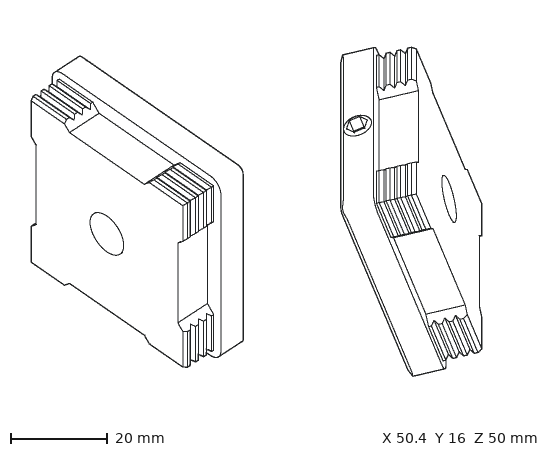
import cadquery as cq
import math


OVERALL_LENGTH = 50.4
SIDE_COUNT = 4
QUARTER_TURN = 90

PLATE_SIZE = 50.0
PLATE_THICKNESS = 7.5
PLATE_CORNER_RADIUS = 3.1
BEVEL_INSET = 1.4
BEVEL_DEPTH = 1.0
BEVEL_CORNER_RADIUS = 2.5

PLUG_DEPTH = 8.5
RIB_HALF_WIDTH = 22.9
RIB_PITCH = 2.3
RIB_CREST = 0.8
GROOVE_COUNT = 3
GROOVE_DEPTH = 0.7
FIRST_GROOVE_START = 0.6
GROOVE_FALL = 0.8
GROOVE_RISE = RIB_PITCH - RIB_CREST - GROOVE_FALL
FRONT_BEVEL_INSET = 0.4

RECESS_FLOOR_HALF_WIDTH = 21.0
RECESS_FLOOR_HALF_LENGTH = 11.1
RECESS_DEPTH = RIB_HALF_WIDTH - RECESS_FLOOR_HALF_WIDTH

BORE_RADIUS = 5.0

SCREW_RADIUS = 3.0
SCREW_Y = 3.45
SCREW_PROTRUSION = OVERALL_LENGTH - PLATE_SIZE
SCREW_HEAD_X = -PLATE_SIZE / 2 - SCREW_PROTRUSION
SCREW_TIP_X = -4.3
SCREW_LENGTH = SCREW_TIP_X - SCREW_HEAD_X
SCREW_RIM_RADIUS = 0.6
SOCKET_SIDES = 6
SOCKET_ACROSS_FLATS = 4.05
SOCKET_DEPTH = 3.0
SOCKET_TURN = -15


def along_y(start):
    """Workplane at Y = start whose extrusions run towards +Y."""
    return cq.Workplane("XZ", origin=(0, start, 0)).transformed(rotate=(180, 0, 0))


def make_plate():
    """Square plate with rounded corners and a bevel around its back face."""
    prism = (
        along_y(0)
        .rect(PLATE_SIZE, PLATE_SIZE)
        .extrude(PLATE_THICKNESS)
        .edges("|Y")
        .fillet(PLATE_CORNER_RADIUS)
    )
    bevel_angle = math.degrees(math.atan(BEVEL_INSET / BEVEL_DEPTH))
    back_size = PLATE_SIZE - 2 * BEVEL_INSET
    front_size = back_size + 2 * PLATE_THICKNESS * BEVEL_INSET / BEVEL_DEPTH
    stump = (
        along_y(0)
        .rect(front_size, front_size)
        .extrude(PLATE_THICKNESS, taper=bevel_angle)
        .edges("not(#Y)")
        .fillet(BEVEL_CORNER_RADIUS)
    )
    return prism.intersect(stump)


def rib_profile():
    """Points (half width, Y) of the ribbed side, from the joint to the front face."""
    points = [(RIB_HALF_WIDTH, 0)]
    for index in range(GROOVE_COUNT):
        start = FIRST_GROOVE_START + index * RIB_PITCH
        bottom = start + GROOVE_FALL
        points.append((RIB_HALF_WIDTH, -start))
        points.append((RIB_HALF_WIDTH - GROOVE_DEPTH, -bottom))
        points.append((RIB_HALF_WIDTH, -bottom - GROOVE_RISE))
    front_bevel_start = FIRST_GROOVE_START + GROOVE_COUNT * RIB_PITCH
    points.append((RIB_HALF_WIDTH, -front_bevel_start))
    points.append((RIB_HALF_WIDTH - FRONT_BEVEL_INSET, -PLUG_DEPTH))
    return points


def make_plug():
    """Square plug whose ribs run around all four sides and meet in mitred corners."""
    side = rib_profile()
    outline = side + [(-width, y) for width, y in reversed(side)]
    ribs_on_x_sides = cq.Workplane("XY").polyline(outline).close().extrude(RIB_HALF_WIDTH, both=True)
    ribs_on_z_sides = ribs_on_x_sides.rotate((0, 0, 0), (0, 1, 0), QUARTER_TURN)
    return ribs_on_x_sides.intersect(ribs_on_z_sides)


def make_side_recess():
    """Cutter for the recess in the +X side of the plug, with ends sloping at 45 degrees."""
    mouth_half_length = RECESS_FLOOR_HALF_LENGTH + RECESS_DEPTH
    return (
        along_y(-PLUG_DEPTH)
        .polyline([
            (RECESS_FLOOR_HALF_WIDTH, -RECESS_FLOOR_HALF_LENGTH),
            (RIB_HALF_WIDTH, -mouth_half_length),
            (RIB_HALF_WIDTH, mouth_half_length),
            (RECESS_FLOOR_HALF_WIDTH, RECESS_FLOOR_HALF_LENGTH),
        ])
        .close()
        .extrude(PLUG_DEPTH)
    )


def make_screw_blank():
    """Plain cylinder, used for the screw and to cut its matching hole."""
    return cq.Workplane("YZ", origin=(SCREW_HEAD_X, SCREW_Y, 0)).circle(SCREW_RADIUS).extrude(SCREW_LENGTH)


def make_housing():
    """Plate and plug in one piece, with the side recesses, the bore and the screw hole."""
    plug = make_plug()
    for turn in range(SIDE_COUNT):
        plug = plug.cut(make_side_recess().rotate((0, 0, 0), (0, 1, 0), QUARTER_TURN * turn))
    bore = along_y(-PLUG_DEPTH).circle(BORE_RADIUS).extrude(PLUG_DEPTH + PLATE_THICKNESS)
    return make_plate().union(plug).cut(bore).cut(make_screw_blank())


def make_set_screw():
    """Set screw with a rounded rim and a hexagon socket in its outer end."""
    corner_diameter = SOCKET_ACROSS_FLATS / math.cos(math.pi / SOCKET_SIDES)
    socket = (
        cq.Workplane("YZ", origin=(SCREW_HEAD_X, SCREW_Y, 0))
        .transformed(rotate=(0, 0, SOCKET_TURN))
        .polygon(SOCKET_SIDES, corner_diameter)
        .extrude(SOCKET_DEPTH)
    )
    return make_screw_blank().faces("<X").edges().fillet(SCREW_RIM_RADIUS).cut(socket)


housing = make_housing()
set_screw = make_set_screw()
result = cq.Compound.makeCompound([housing.solids().val(), set_screw.solids().val()])